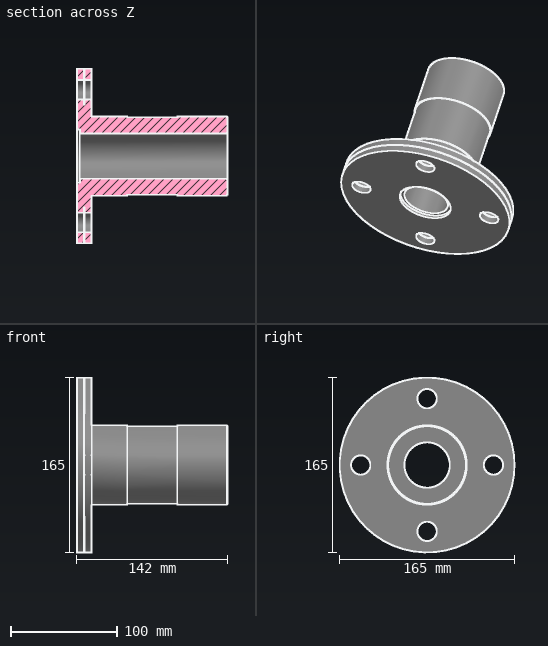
import cadquery as cq

total_length = 142.0
flange_diameter = 165.0
flange_thickness = 14.0

band_diameter = 75.0
waist_diameter = 73.5
waist_start = total_length / 3
waist_length = total_length / 3
end_chamfer = 1.0

groove_width = 0.5
groove_floor_diameter = 97.5

bore_diameter = 42.5
recess_diameter = 50.0
recess_depth = 3.0

bolt_hole_diameter = 18.0
bolt_circle_diameter = 125.0
bolt_count = 4


def cylinder(start, length, diameter):
    """Solid cylinder along +X, beginning at X = start."""
    return cq.Workplane("YZ", origin=(start, 0, 0)).circle(diameter / 2).extrude(length)


def ring(start, length, outer_diameter, inner_diameter):
    """Hollow cylinder along +X, beginning at X = start."""
    return cylinder(start, length, outer_diameter).cut(cylinder(start, length, inner_diameter))


def make_flange():
    flange = cylinder(0, flange_thickness, flange_diameter)
    groove_start = (flange_thickness - groove_width) / 2
    groove = ring(groove_start, groove_width, flange_diameter, groove_floor_diameter)
    bolt_holes = (
        cq.Workplane("YZ")
        .polarArray(bolt_circle_diameter / 2, 0, 360, bolt_count)
        .circle(bolt_hole_diameter / 2)
        .extrude(flange_thickness)
    )
    return flange.cut(groove).cut(bolt_holes)


def make_sleeve():
    sleeve = cylinder(0, total_length, band_diameter).faces(">X").chamfer(end_chamfer)
    return sleeve.cut(ring(waist_start, waist_length, band_diameter, waist_diameter))


bore = cylinder(0, total_length, bore_diameter)
recess = cylinder(0, recess_depth, recess_diameter)

result = make_flange().union(make_sleeve()).cut(bore).cut(recess)